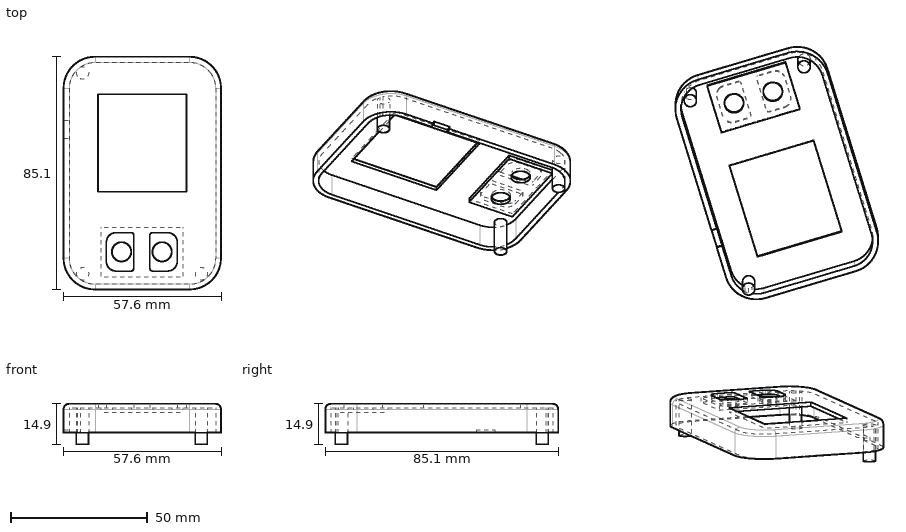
import cadquery as cq

length = 85.1
width = 57.6
total_height = 14.9
pin_drop = 4.3
case_height = total_height - pin_drop
corner_radius = 11.6
top_fillet = 2.0
wall = 2.0
top_thickness = 1.5
cavity_height = case_height - top_thickness

pin_diameter = 4.5
pin_center_x = -0.2
pin_x = 21.7
pin_y = 36.7

window_width = 32.2
window_length = 35.5
window_y = 11.0

button_center_x = -0.2
button_y = -28.8
button_hole_x = 7.4
button_hole_diameter = 7.0
well_inner_x = 3.0
well_outer_x = 12.9
well_length = 14.0
well_depth = 1.5
well_floor = 1.5
well_inner_radius = 0.89
well_outer_radius = 3.5
well_width = well_outer_x - well_inner_x
well_x = (well_inner_x + well_outer_x) / 2
well_bottom = case_height - well_depth

notch_length = 6.6
notch_height = 1.0
notch_y = 16.0


def rounded_block(block_width, block_length, height, radius):
    """Block standing on Z = 0 with rounded vertical edges."""
    block = cq.Workplane("XY").box(block_width, block_length, height, centered=(True, True, False))
    return block.edges("|Z").fillet(radius)


def case_shell():
    outside = rounded_block(width, length, case_height, corner_radius)
    outside = outside.faces(">Z").edges().fillet(top_fillet)
    cavity = rounded_block(width - 2 * wall, length - 2 * wall, cavity_height, corner_radius - wall)
    return outside.cut(cavity)


def corner_pins():
    """Round pins running from the underside of the top to below the rim."""
    left = pin_center_x - pin_x
    right = pin_center_x + pin_x
    return (
        cq.Workplane("XY", origin=(0, 0, -pin_drop))
        .pushPoints([(left, -pin_y), (right, -pin_y), (left, pin_y)])
        .circle(pin_diameter / 2)
        .extrude(pin_drop + case_height - top_thickness / 2)
    )


def well_recess(side):
    """Recess with wide rounding on the edges away from the buttons' centre line."""
    outer, inner = (">X", "<X") if side > 0 else ("<X", ">X")
    recess = cq.Workplane("XY").box(well_width, well_length, well_depth, centered=(True, True, False))
    recess = recess.edges("|Z").edges(outer).fillet(well_outer_radius)
    recess = recess.edges("|Z").edges(inner).fillet(well_inner_radius)
    return recess.translate((button_center_x + side * well_x, button_y, well_bottom))


def well_backing():
    """Pad under the top that carries the floors of both wells."""
    pad_width = 2 * (well_outer_x + wall)
    pad_length = well_length + 2 * wall
    pad = cq.Workplane("XY").box(pad_width, pad_length, well_floor, centered=(True, True, False))
    return pad.translate((button_center_x, button_y, well_bottom - well_floor))


def button_hole(side):
    return (
        cq.Workplane("XY")
        .center(button_center_x + side * button_hole_x, button_y)
        .circle(button_hole_diameter / 2)
        .extrude(case_height)
    )


def display_window():
    return cq.Workplane("XY").center(0, window_y).rect(window_width, window_length).extrude(case_height)


def rim_notch():
    notch = cq.Workplane("XY").box(wall, notch_length, notch_height, centered=(False, True, False))
    return notch.translate((-width / 2, notch_y, 0))


result = case_shell().union(corner_pins()).union(well_backing())
result = result.cut(display_window()).cut(rim_notch())
for side in (-1, 1):
    result = result.cut(well_recess(side)).cut(button_hole(side))